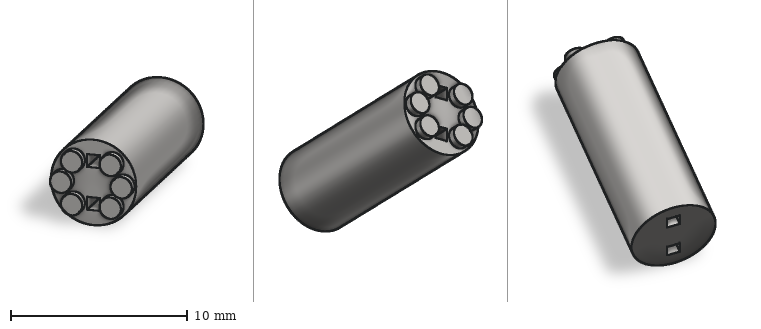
import cadquery as cq

body_diameter = 5.08
body_length = 12.7

peg_diameter = 1.27
peg_height = 0.508
row_spacing = 1.27
outer_row_peg_x = 1.15
middle_row_peg_x = 1.803

square_hole_side = 0.762


def make_body():
    return cq.Workplane("XZ").circle(body_diameter / 2).extrude(-body_length)


def add_pegs(body):
    row_half_spans = {
        -row_spacing: outer_row_peg_x,
        0: middle_row_peg_x,
        row_spacing: outer_row_peg_x,
    }
    peg_centers = [
        (side * half_span, z)
        for z, half_span in row_half_spans.items()
        for side in (-1, 1)
    ]
    pegs = cq.Workplane("XZ").pushPoints(peg_centers).circle(peg_diameter / 2).extrude(peg_height)
    return body.union(pegs)


def cut_square_holes(body):
    hole_centers = [(0, -row_spacing), (0, row_spacing)]
    holes = (
        cq.Workplane("XZ")
        .pushPoints(hole_centers)
        .rect(square_hole_side, square_hole_side)
        .extrude(-body_length)
    )
    return body.cut(holes)


result = cut_square_holes(add_pegs(make_body()))